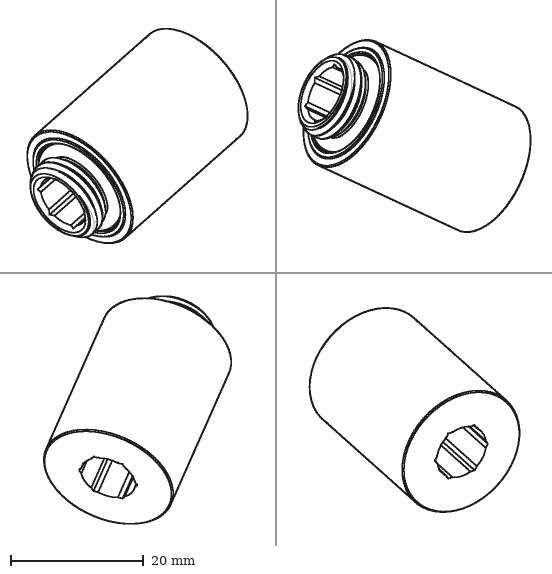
import cadquery as cq
import math


stud_length = 4.5
lip_height = 0.2
body_length = 27.8
body_diameter = 20.6
edge_chamfer = 0.2

lip_outer_radius = 9.0
seal_groove_radius = 8.0
ring_section_radius = 1.05
ring_outer_radius = 7.75
ring_projection = 0.7
ring_seating = 0.05

thread_diameter = 13.157
thread_pitch = 1.337
root_radius = 5.75
neck_radius = 5.7
runout_end = 3.85
stud_embedding = 2.0
tip_radius = 5.65
thread_angle = 60.0
crest_height_at_x = 0.845
groove_lead = 1.5
groove_turns = 4.3
groove_clearance = 0.1

bore_diameter = 8.6
hex_across_flats = 8.0
bore_mouth_radius = 5.05
mouth_height = 2.0

lip_face = stud_length
body_front = lip_face + lip_height
body_rear = body_front + body_length
body_radius = body_diameter / 2
thread_radius = thread_diameter / 2
crest_flat = thread_pitch / 8
ring_centre_radius = ring_outer_radius - ring_section_radius
ring_centre_height = lip_face - ring_projection + ring_section_radius
groove_floor = ring_centre_height + ring_section_radius - ring_seating
stud_root = groove_floor + stud_embedding


def make_body():
    """Sleeve with chamfered rims and a raised, fully bevelled lip on the front face."""
    sleeve = (
        cq.Workplane("XY", origin=(0, 0, body_front))
        .circle(body_radius)
        .extrude(body_length)
        .edges("%CIRCLE")
        .chamfer(edge_chamfer)
    )
    lip = (
        cq.Workplane("XY", origin=(0, 0, body_front))
        .circle(lip_outer_radius)
        .extrude(-lip_height, taper=45)
    )
    return sleeve.union(lip)


def make_seal_groove():
    """Cutter for the O-ring groove, with a chamfered outer mouth."""
    return (
        cq.Workplane("XZ")
        .moveTo(0, lip_face)
        .lineTo(seal_groove_radius + edge_chamfer, lip_face)
        .lineTo(seal_groove_radius, lip_face + edge_chamfer)
        .lineTo(seal_groove_radius, groove_floor)
        .lineTo(0, groove_floor)
        .close()
        .revolve(360, (0, 0), (0, 1))
    )


def make_seal_ring():
    """O-ring seated on the groove floor around the neck."""
    return (
        cq.Workplane("XZ")
        .center(ring_centre_radius, ring_centre_height)
        .circle(ring_section_radius)
        .revolve(360, (-ring_centre_radius, 0), (-ring_centre_radius, 1))
    )


def make_thread_groove():
    """Right-handed 60 degree helical cutter between the thread crests."""
    flank_slope = math.tan(math.radians(thread_angle / 2))
    flank_run = (thread_radius - root_radius) * flank_slope
    crest_half_gap = (thread_pitch - crest_flat) / 2
    root_half_gap = crest_half_gap - flank_run
    outer_half_gap = crest_half_gap + groove_clearance * flank_slope
    outer_radius = thread_radius + groove_clearance
    start = crest_height_at_x - groove_lead * thread_pitch

    helix = cq.Wire.makeHelix(
        thread_pitch, groove_turns * thread_pitch, root_radius, cq.Vector(0, 0, start)
    )
    profile = [
        (root_radius, start - root_half_gap),
        (outer_radius, start - outer_half_gap),
        (outer_radius, start + outer_half_gap),
        (root_radius, start + root_half_gap),
    ]
    return cq.Workplane("XZ").polyline(profile).close().sweep(cq.Workplane(obj=helix), isFrenet=True)


def make_stud():
    """Threaded stud with 45 degree lead-in and runout, ending in the neck."""
    lead_in = thread_radius - tip_radius
    runout = thread_radius - neck_radius
    blank = (
        cq.Workplane("XZ")
        .moveTo(0, 0)
        .lineTo(tip_radius, 0)
        .lineTo(thread_radius, lead_in)
        .lineTo(thread_radius, runout_end - runout)
        .lineTo(neck_radius, runout_end)
        .lineTo(neck_radius, stud_root)
        .lineTo(0, stud_root)
        .close()
        .revolve(360, (0, 0), (0, 1))
    )
    return blank.cut(make_thread_groove())


def make_bore():
    """Through bore: a round hole with hex-key corners on X and a conical mouth at the tip."""
    round_hole = cq.Workplane("XY").circle(bore_diameter / 2).extrude(body_rear)
    hex_across_corners = hex_across_flats / math.cos(math.radians(30))
    hex_hole = cq.Workplane("XY").polygon(6, hex_across_corners).extrude(body_rear)
    mouth = cq.Workplane("XY").circle(bore_mouth_radius).extrude(mouth_height, taper=45)
    return round_hole.union(hex_hole).union(mouth)


fitting = (
    make_body()
    .cut(make_seal_groove())
    .union(make_stud())
    .union(make_seal_ring())
    .cut(make_bore())
)
result = fitting.rotate((0, 0, 0), (1, 0, 0), -90)